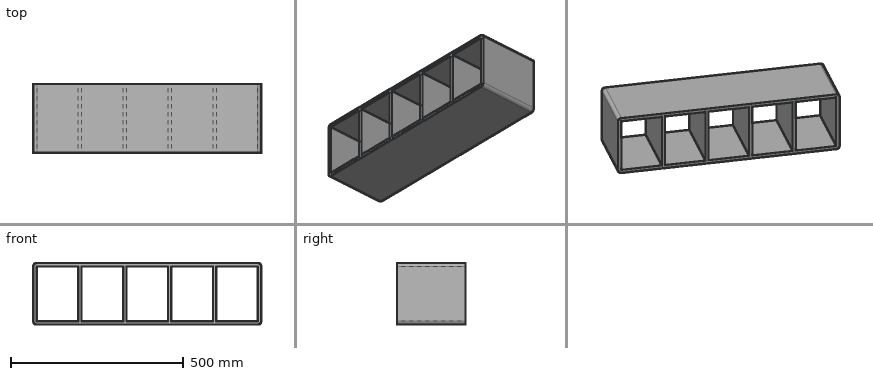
import cadquery as cq

length = 662.5
depth = 200.0
height = 179.5
outer_wall = 10.5
divider = 10.0
bay_count = 5
corner_radius = outer_wall

bay_width = (length - 2 * outer_wall - (bay_count - 1) * divider) / bay_count
bay_height = height - 2 * outer_wall
bay_pitch = bay_width + divider

body = cq.Workplane("XY").box(length, depth, height).edges("|Y").fillet(corner_radius)

bays = (
    cq.Workplane("XZ")
    .rarray(bay_pitch, 6.5, bay_count, 1)
    .rect(bay_width, bay_height)
    .extrude(depth / 2, both=True)
)

result = body.cut(bays)